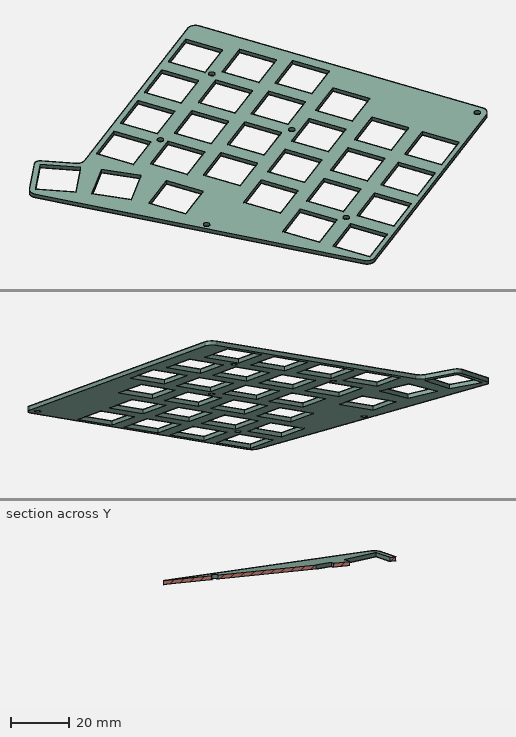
import cadquery as cq
import math

length = 128.2
width = 109.8
thickness = 1.5
corner_radius = 3.0

right_x = length / 2
top_y = width / 2
left_x = -49.2

lower_edge_y = -47.8
lower_edge_slope = math.tan(math.radians(7.1))

switch_size = 14.0
key_pitch = 19.1
key_border = 2.0
keys_per_column = 4
first_column_x = left_x + key_border + switch_size / 2
top_key_heights = [39.1, 42.0, 44.0, 36.0, 26.9, 26.9]

end_thumb_key = (-53.2, -43.3, 18.6)
thumb_keys = [(-12.0, -35.7, 0.0), (-33.6, -38.0, 11.5), end_thumb_key]

hole_diameter = 2.2
hole_positions = [
    (60.8, 51.7),
    (-30.8, 32.3),
    (7.5, 15.8),
    (-30.8, -8.7),
    (45.5, -20.9),
    (4.0, -45.0),
]


def lower_edge_point(x):
    return (x, lower_edge_y + lower_edge_slope * x)


def make_plate():
    """Plate whose lower left corner reaches out as an arm around the end thumb key."""
    key_x, key_y, tilt = end_thumb_key
    angle = math.radians(tilt)
    tilt_slope = math.tan(angle)
    arm_reach = switch_size / 2 + key_border

    arm_x = key_x - arm_reach * (math.cos(angle) + math.sin(angle))
    arm_y = key_y + arm_reach * (math.cos(angle) - math.sin(angle))

    neck = (left_x, arm_y + (left_x - arm_x) * tilt_slope)
    tip_x = (arm_x + (arm_y - lower_edge_y) * tilt_slope) / (1 + lower_edge_slope * tilt_slope)

    corners = [
        ((left_x, top_y), corner_radius),
        ((right_x, top_y), corner_radius),
        (lower_edge_point(right_x), corner_radius),
        (lower_edge_point(tip_x), corner_radius),
        ((arm_x, arm_y), key_border),
        (neck, corner_radius),
    ]
    outline = [point for point, radius in corners]
    plate = cq.Workplane("XY").polyline(outline).close().extrude(thickness)
    for (x, y), radius in corners:
        corner_edge = cq.selectors.NearestToPointSelector((x, y, thickness / 2))
        plate = plate.edges(corner_edge).fillet(radius)
    return plate


def switch_opening(x, y, turn=0.0):
    opening = cq.Workplane("XY").rect(switch_size, switch_size).extrude(thickness)
    return opening.rotate((0, 0, 0), (0, 0, 1), turn).translate((x, y, 0))


result = make_plate()

for column, top_key_y in enumerate(top_key_heights):
    column_x = first_column_x + column * key_pitch
    for row in range(keys_per_column):
        result = result.cut(switch_opening(column_x, top_key_y - row * key_pitch))

for x, y, turn in thumb_keys:
    result = result.cut(switch_opening(x, y, turn))

screw_holes = cq.Workplane("XY").pushPoints(hole_positions).circle(hole_diameter / 2).extrude(thickness)
result = result.cut(screw_holes)